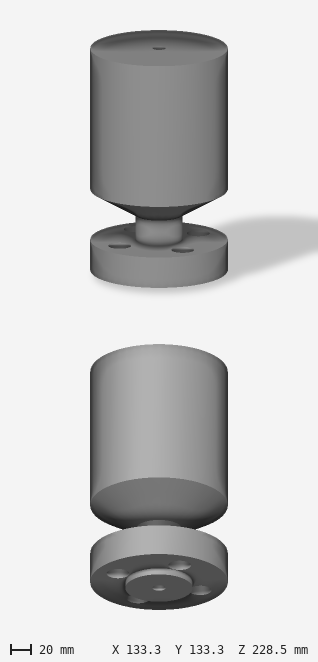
import cadquery as cq

total_height = 228.5
body_diameter = 133.3
flange_diameter = body_diameter

flange_bottom = 6.5
flange_top = 36.8
neck_top = 62.0
body_bottom = 87.5

raised_face_diameter = 65.2
neck_diameter = 45.7
bore_diameter = 12.8

bolt_hole_count = 4
bolt_hole_diameter = 22.2
bolt_circle_diameter = 89.0


def cylinder(diameter, bottom, top):
    """Upright cylinder on the part axis between two levels."""
    return cq.Workplane("XY").workplane(offset=bottom).circle(diameter / 2).extrude(top - bottom)


def body_shape():
    """Cylindrical body whose lower end tapers down to the neck."""
    return (
        cq.Workplane("XZ")
        .moveTo(0, neck_top)
        .lineTo(neck_diameter / 2, neck_top)
        .lineTo(body_diameter / 2, body_bottom)
        .lineTo(body_diameter / 2, total_height)
        .lineTo(0, total_height)
        .close()
        .revolve(360, (0, 0, 0), (0, 1, 0))
    )


def bolt_holes():
    """Cutters for the bolt holes, with two of them on the X axis."""
    return (
        cq.Workplane("XY")
        .workplane(offset=flange_bottom)
        .polarArray(bolt_circle_diameter / 2, 0, 360, bolt_hole_count)
        .circle(bolt_hole_diameter / 2)
        .extrude(flange_top - flange_bottom)
    )


raised_face = cylinder(raised_face_diameter, 0, flange_bottom)
flange = cylinder(flange_diameter, flange_bottom, flange_top).cut(bolt_holes())
neck = cylinder(neck_diameter, flange_top, neck_top)
bore = cylinder(bore_diameter, 0, total_height)

result = raised_face.union(flange).union(neck).union(body_shape()).cut(bore)